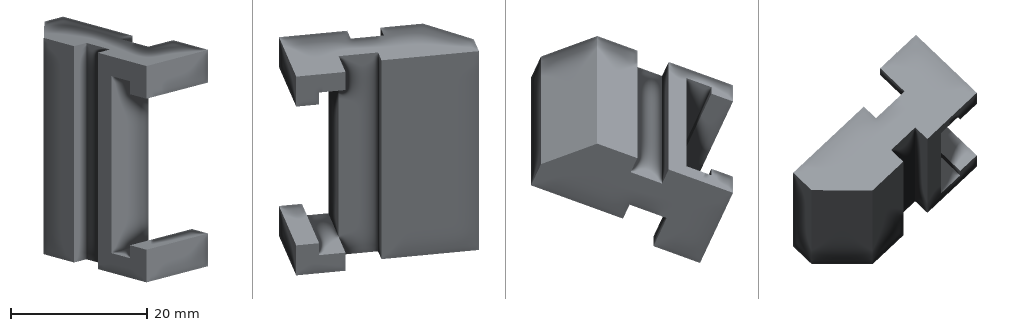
import cadquery as cq

width = 27.95
depth = 12.7
height = 33.02

chamfer = 6.35
body_depth = 10.17
front_groove_start = 12.7
front_groove_width = 5.0
front_groove_depth = 2.55
back_notch_start = 14.63
back_notch_floor = 7.63
arm_start = 20.55

arm_thickness = 3.0
hook_height = 5.0
hook_width = 3.45


def make_body():
    """Constant profile with a chamfered edge, a front groove and a back notch."""
    front_groove_end = front_groove_start + front_groove_width
    outline = [
        (chamfer, 0),
        (front_groove_start, 0),
        (front_groove_start, front_groove_depth),
        (front_groove_end, front_groove_depth),
        (front_groove_end, 0),
        (width, 0),
        (width, depth),
        (arm_start, depth),
        (arm_start, back_notch_floor),
        (back_notch_start, back_notch_floor),
        (back_notch_start, body_depth),
        (0, body_depth),
        (0, chamfer),
    ]
    return cq.Workplane("XY").polyline(outline).close().extrude(height)


def make_opening(x_start, x_end, margin):
    """Block through the full depth, set in by margin from both ends in Z."""
    return cq.Workplane("XY").box(
        x_end - x_start, depth, height - 2 * margin, centered=False
    ).translate((x_start, 0, margin))


hook_start = width - hook_width
window = make_opening(arm_start, hook_start, arm_thickness)
mouth = make_opening(hook_start, width, hook_height)

result = make_body().cut(window).cut(mouth)